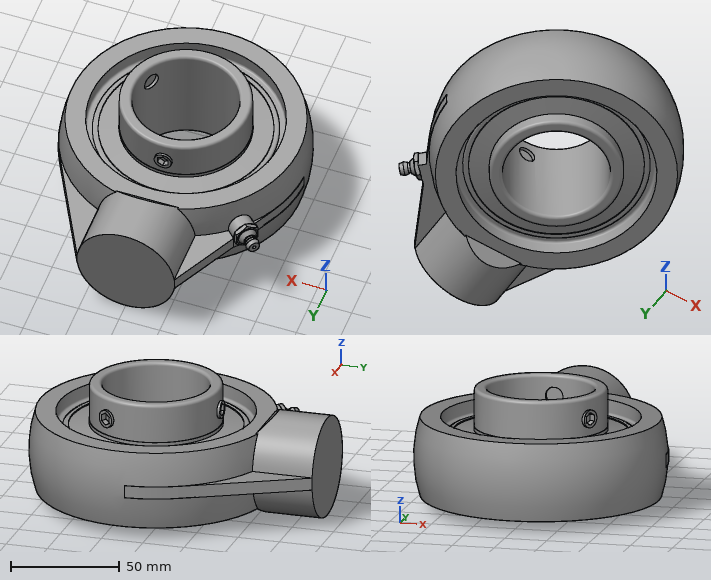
import cadquery as cq
import math

overall_length = 141.7
cut_margin = 1.4

body_r = 59.0
body_half_width = 37.0 / 2
pocket_r = 92.8 / 2
pocket_fillet = 1.2
floor_z = 11.2

boss_r = 24.0
boss_end_y = overall_length - body_r
boss_root_y = 51.0
boss_bevel_y = 53.0
web_thickness = 6.0
web_r = 59.1
web_start_y = 2.8

nipple_angle = 135
nipple_z = 4.0
seat_r = 6.0
seat_root = 51.0
seat_end = 64.0
hex_across_flats = 11.0
hex_height = 2.4
hex_chamfer = 0.5
hex_chamfer_inset = 1.1
collar_base_r = 4.5
collar_r = 3.0
collar_top = 4.7
neck_r = 2.4
head_bottom = 5.8
head_widest = 7.6
head_top = 9.8
head_edge_r = 2.7
head_r = 3.3
grease_hole_d = 1.5
grease_hole_depth = 1.4

bearing_r = 44.8
outer_ring_half_width = 12.0
outer_ring_fillet = 1.0
outer_ring_bore_r = 81.3 / 2
shield_thickness = 1.1
shield_rim_z = 11.5
shield_hub_z = 12.6
bore_r = 50.0 / 2
collar_od_r = 61.8 / 2
land_r = 62.2 / 2
land_top_z = 14.3
inner_ring_top_z = 32.6
inner_ring_bottom_z = -19.0
inner_ring_fillet = 1.5

screw_angles = (90, -30)
screw_d = 8.4
screw_z = 22.5
screw_inner_end = 26.5
screw_outer_end = 32.0
socket_across_flats = 5.1
socket_depth = 2.8


def radial_plane(angle, distance, z):
    """Plane facing outward along a radius; its local y axis points up +Z."""
    a = math.radians(angle)
    outward = cq.Vector(math.cos(a), math.sin(a), 0)
    sideways = cq.Vector(-math.sin(a), math.cos(a), 0)
    return cq.Plane(outward * distance + cq.Vector(0, 0, z), sideways, outward)


def z_cylinder(radius, bottom, top):
    return cq.Workplane("XY").workplane(offset=bottom).circle(radius).extrude(top - bottom)


def barrel(radius, half_width):
    """Ball with both poles cut off flat."""
    rim_r = math.sqrt(radius**2 - half_width**2)
    return (
        cq.Workplane("XZ")
        .moveTo(0, -half_width)
        .lineTo(rim_r, -half_width)
        .threePointArc((radius, 0), (rim_r, half_width))
        .lineTo(0, half_width)
        .close()
        .revolve(360, (0, 0), (0, 1))
    )


def make_boss():
    boss = (
        cq.Workplane("XZ", origin=(0, boss_root_y, 0))
        .circle(boss_r)
        .extrude(boss_root_y - boss_end_y)
    )
    root_z = body_half_width + boss_root_y - boss_bevel_y
    full_y = boss_bevel_y + boss_r - body_half_width
    bevel_outline = (
        cq.Workplane("YZ", origin=(-boss_r, 0, 0))
        .moveTo(boss_root_y, root_z)
        .lineTo(full_y, boss_r)
        .lineTo(boss_end_y, boss_r)
        .lineTo(boss_end_y, -boss_r)
        .lineTo(full_y, -boss_r)
        .lineTo(boss_root_y, -root_z)
        .close()
        .extrude(2 * boss_r)
    )
    return boss.intersect(bevel_outline)


def make_web():
    """Flat web whose straight sides run from the boss corners tangent to the ring."""
    corner_angle = math.atan2(boss_end_y, boss_r)
    tangent_angle = corner_angle - math.acos(web_r / math.hypot(boss_r, boss_end_y))
    start_angle = math.asin(web_start_y / web_r)

    def on_ring(angle, side):
        return (side * web_r * math.cos(angle), web_r * math.sin(angle))

    middle_angle = (tangent_angle + start_angle) / 2
    return (
        cq.Workplane("XY", origin=(0, 0, -web_thickness / 2))
        .moveTo(*on_ring(start_angle, 1))
        .threePointArc(on_ring(middle_angle, 1), on_ring(tangent_angle, 1))
        .lineTo(boss_r, boss_end_y)
        .lineTo(-boss_r, boss_end_y)
        .lineTo(*on_ring(tangent_angle, -1))
        .threePointArc(on_ring(middle_angle, -1), on_ring(start_angle, -1))
        .close()
        .extrude(web_thickness)
    )


def make_nipple_seat():
    """Round-topped pad that reaches down to the underside of the web."""
    pad_bottom = -web_thickness / 2 - nipple_z
    return (
        cq.Workplane(radial_plane(nipple_angle, seat_root, nipple_z))
        .moveTo(-seat_r, pad_bottom)
        .lineTo(seat_r, pad_bottom)
        .lineTo(seat_r, 0)
        .threePointArc((0, seat_r), (-seat_r, 0))
        .close()
        .extrude(seat_end - seat_root)
    )


def make_pocket(side):
    """Pocket with a rounded floor edge, on the +Z (side 1) or -Z (side -1) face."""
    pocket = z_cylinder(pocket_r, floor_z, body_half_width + cut_margin)
    pocket = pocket.faces("<Z").edges().fillet(pocket_fillet)
    return pocket if side > 0 else pocket.mirror("XY")


def make_housing():
    ring = barrel(body_r, body_half_width)
    housing = ring.union(make_boss()).union(make_web()).union(make_nipple_seat())
    for side in (1, -1):
        housing = housing.cut(make_pocket(side))
    return housing.cut(barrel(bearing_r, outer_ring_half_width))


def make_outer_ring():
    ring = barrel(bearing_r, outer_ring_half_width)
    ring = ring.faces("|Z").edges().fillet(outer_ring_fillet)
    return ring.cut(z_cylinder(outer_ring_bore_r, -outer_ring_half_width, outer_ring_half_width))


def make_shield(side):
    """Slightly coned disc closing the gap between the two rings."""
    return (
        cq.Workplane("XZ")
        .moveTo(outer_ring_bore_r, side * shield_rim_z)
        .lineTo(land_r, side * shield_hub_z)
        .lineTo(land_r, side * (shield_hub_z - shield_thickness))
        .lineTo(outer_ring_bore_r, side * (shield_rim_z - shield_thickness))
        .close()
        .revolve(360, (0, 0), (0, 1))
    )


def make_inner_ring():
    ring = z_cylinder(land_r, inner_ring_bottom_z, land_top_z)
    ring = ring.union(z_cylinder(collar_od_r, land_top_z, inner_ring_top_z))
    ring = ring.cut(z_cylinder(bore_r, inner_ring_bottom_z, inner_ring_top_z))
    ring = ring.faces("<Z or >Z").edges().fillet(inner_ring_fillet)
    for angle in screw_angles:
        hole = cq.Workplane(radial_plane(angle, 0, screw_z)).circle(screw_d / 2)
        hole = hole.extrude(land_r + cut_margin)
        ring = ring.cut(hole)
    return ring


def make_set_screw(angle):
    length = screw_outer_end - screw_inner_end
    return (
        cq.Workplane(radial_plane(angle, screw_inner_end, screw_z))
        .circle(screw_d / 2)
        .extrude(length)
        .cut(
            cq.Workplane(radial_plane(angle, screw_outer_end, screw_z))
            .polygon(6, socket_across_flats, circumscribed=True)
            .extrude(-socket_depth)
        )
    )


def make_nipple():
    seat_plane = radial_plane(nipple_angle, seat_end, nipple_z)

    def cone(bottom, bottom_r, top, top_r):
        return (
            cq.Workplane(seat_plane)
            .workplane(offset=bottom)
            .circle(bottom_r)
            .workplane(offset=top - bottom)
            .circle(top_r)
            .loft()
        )

    nipple = (
        cq.Workplane(seat_plane)
        .polygon(6, hex_across_flats, circumscribed=True)
        .extrude(hex_height)
    )
    hex_corner_r = hex_across_flats / math.sqrt(3)
    shoulder = hex_height - hex_chamfer
    corner_trim = cq.Workplane(seat_plane).circle(hex_corner_r).extrude(shoulder)
    corner_trim = corner_trim.union(
        cone(shoulder, hex_corner_r, hex_height, hex_corner_r - hex_chamfer_inset)
    )
    nipple = nipple.intersect(corner_trim)
    neck = cq.Workplane(seat_plane).circle(neck_r).extrude(head_top)
    nipple = nipple.union(neck)
    nipple = nipple.union(cone(hex_height, collar_base_r, collar_top, collar_r))
    nipple = nipple.union(cone(head_bottom, head_edge_r, head_widest, head_r))
    nipple = nipple.union(cone(head_widest, head_r, head_top, head_edge_r))
    grease_hole = (
        cq.Workplane(seat_plane)
        .workplane(offset=head_top - grease_hole_depth)
        .circle(grease_hole_d / 2)
        .extrude(grease_hole_depth)
    )
    return nipple.cut(grease_hole)


housing = make_housing()
outer_ring = make_outer_ring()
inner_ring = make_inner_ring()
shields = [make_shield(side) for side in (1, -1)]
set_screws = [make_set_screw(angle) for angle in screw_angles]
nipple = make_nipple()

result = cq.Compound.makeCompound(
    [
        housing.val(),
        outer_ring.val(),
        inner_ring.val(),
        *[shield.val() for shield in shields],
        *[screw.val() for screw in set_screws],
        nipple.val(),
    ]
)